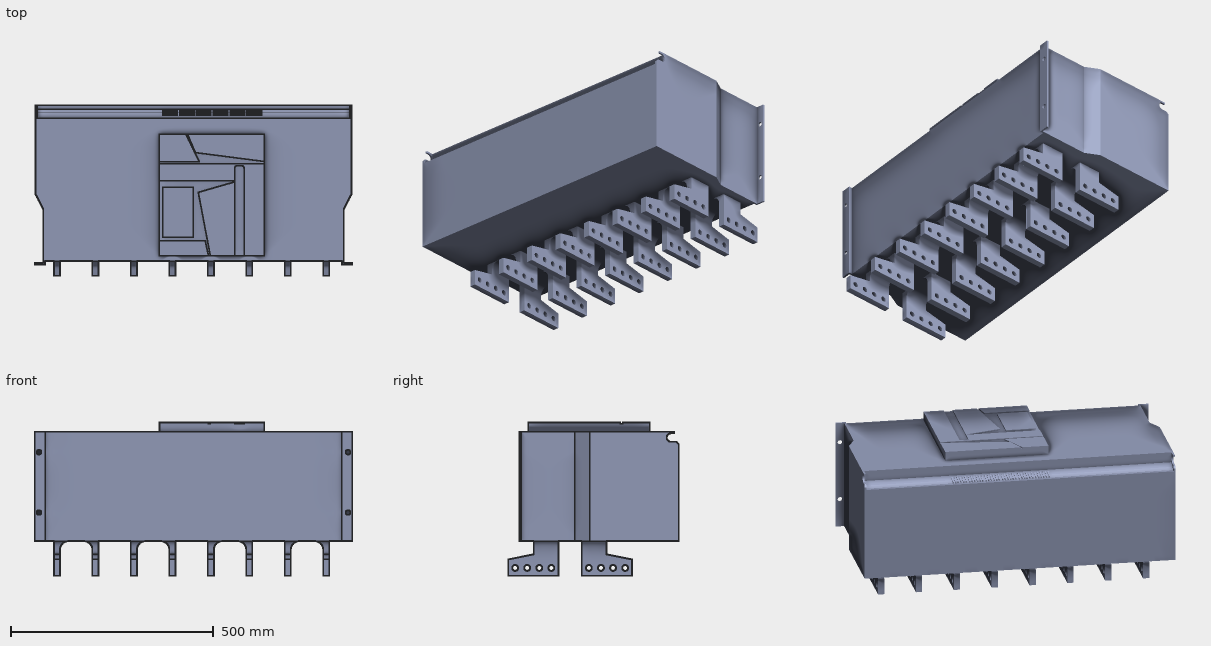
import cadquery as cq

HOUSING_HEIGHT = 271.0
FRONT_Y = -385.0
REAR_HALF_WIDTH = 390.0
FRONT_HALF_WIDTH = 371.0
TAPER_BACK_Y = -220.0
TAPER_FRONT_Y = -257.0
SHEET = 5.0

RECESS_Y = -32.0
RECESS_BREAK_Y = -17.0
LEDGE_Y = -9.5
RECESS_Z = 245.0
RECESS_BREAK_Z = 238.0
LEDGE_Z = 232.0

LIP_Y = -12.0
SLOT_END_Y = -30.0
SLOT_Z = 256.0
SLOT_WIDTH = 20.5
SLOT_CHAMFER = 6.0

FLANGE_HALF_SPAN = 392.5
FLANGE_FRONT_Y = -394.0
FLANGE_HOLE_X = 381.5
FLANGE_HOLE_HEIGHTS = (71.0, 220.0)
FLANGE_HOLE_DIAMETER = 12.0

LEG_COUNT = 8
LEG_PITCH = 95.0
LEG_ROW_CENTER_X = -5.0
LEG_THICKNESS = 16.0
LEG_LENGTH = 85.5
LEG_INNER_Y = -297.0
LEG_NECK_Y = -359.0
LEG_TIP_Y = -421.5
LEG_SHOULDER_Z = -32.0
LEG_TIP_Z = -45.0
LEG_MIRROR_Y = -268.5
LEG_FLARE_RADIUS = 20.5
LEG_HOLE_COUNT = 4
LEG_HOLE_PITCH = 30.0
LEG_HOLE_FIRST_Y = -315.0
LEG_HOLE_Z = -66.0
LEG_HOLE_DIAMETER = 14.0

PANEL_LEFT_X = -84.0
PANEL_BACK_Y = -71.5
PANEL_WIDTH = 259.0
PANEL_DEPTH = 301.0
PANEL_HEIGHT = 23.0
PAD_HEIGHT = 3.0
HANDLE_SLOT_LEFT = 186.0
HANDLE_SLOT_RIGHT = 209.0
HANDLE_SLOT_BACK = 78.0
HANDLE_SLOT_RADIUS = 6.0
SELECT_MARGIN = 1.0

RIB_GROUP_COUNT = 6
RIB_GROUP_FIRST_X = -76.0
RIB_GROUP_PITCH = 41.5
RIBS_PER_GROUP = 6
RIB_PITCH = 6.6
RIB_WIDTH = 3.0
RIB_FRONT_Y = -25.0
RIB_HEIGHT = 2.0


def box_between(x0, x1, y0, y1, z0, z1):
    """Box given by its limits along each axis."""
    return cq.Workplane("XY").box(x1 - x0, y1 - y0, z1 - z0, centered=False).translate((x0, y0, z0))


def side_profile(points, x0, x1):
    """Closed (y, z) outline extruded along X from x0 to x1."""
    return cq.Workplane("YZ").workplane(offset=x0).polyline(points).close().extrude(x1 - x0)


def make_housing():
    outline = [
        (REAR_HALF_WIDTH, 0),
        (REAR_HALF_WIDTH, TAPER_BACK_Y),
        (FRONT_HALF_WIDTH, TAPER_FRONT_Y),
        (FRONT_HALF_WIDTH, FRONT_Y),
    ]
    mirrored = [(-x, y) for x, y in reversed(outline)]
    return cq.Workplane("XY").polyline(outline + mirrored).close().extrude(HOUSING_HEIGHT)


def make_rear_recess():
    inner_half_width = REAR_HALF_WIDTH - SHEET
    profile = [
        (RECESS_Y, HOUSING_HEIGHT),
        (RECESS_Y, RECESS_Z),
        (RECESS_BREAK_Y, RECESS_BREAK_Z),
        (LEDGE_Y, LEDGE_Z),
        (0, LEDGE_Z),
        (0, HOUSING_HEIGHT),
    ]
    return side_profile(profile, -inner_half_width, inner_half_width)


def make_corner_notch():
    """Cutter for the open slot in both side sheets, with the lip and the chamfer at its mouth."""
    slot_radius = SLOT_WIDTH / 2
    slot_bottom = SLOT_Z - slot_radius
    slot_top = SLOT_Z + slot_radius
    arc_y = SLOT_END_Y + slot_radius
    return (
        cq.Workplane("YZ")
        .moveTo(0, HOUSING_HEIGHT)
        .lineTo(LIP_Y, HOUSING_HEIGHT)
        .lineTo(LIP_Y, slot_top)
        .lineTo(arc_y, slot_top)
        .threePointArc((SLOT_END_Y, SLOT_Z), (arc_y, slot_bottom))
        .lineTo(-SLOT_CHAMFER, slot_bottom)
        .lineTo(0, slot_bottom - SLOT_CHAMFER)
        .close()
        .extrude(REAR_HALF_WIDTH, both=True)
    )


def make_flange():
    """Right-hand flange: a web running on from the housing side and an outward turned face."""
    web_x = FRONT_HALF_WIDTH - SHEET
    web = box_between(web_x, FRONT_HALF_WIDTH, FLANGE_FRONT_Y, FRONT_Y, 0, HOUSING_HEIGHT)
    face_back_y = FLANGE_FRONT_Y + SHEET
    face = box_between(web_x, FLANGE_HALF_SPAN, FLANGE_FRONT_Y, face_back_y, 0, HOUSING_HEIGHT)
    holes = (
        cq.Workplane("XZ", origin=(0, face_back_y, 0))
        .pushPoints([(FLANGE_HOLE_X, z) for z in FLANGE_HOLE_HEIGHTS])
        .circle(FLANGE_HOLE_DIAMETER / 2)
        .extrude(SHEET)
    )
    return web.union(face).cut(holes)


def make_leg(flare_side):
    """Front leg centred on X = 0, flared where it meets the housing on the given side (+1 or -1)."""
    profile = [
        (LEG_INNER_Y, 0),
        (LEG_NECK_Y, 0),
        (LEG_NECK_Y, LEG_SHOULDER_Z),
        (LEG_TIP_Y, LEG_TIP_Z),
        (LEG_TIP_Y, -LEG_LENGTH),
        (LEG_INNER_Y, -LEG_LENGTH),
    ]
    half = LEG_THICKNESS / 2
    blade = side_profile(profile, -half, half)
    hole_points = [(LEG_HOLE_FIRST_Y - i * LEG_HOLE_PITCH, LEG_HOLE_Z) for i in range(LEG_HOLE_COUNT)]
    holes = (
        cq.Workplane("YZ")
        .pushPoints(hole_points)
        .circle(LEG_HOLE_DIAMETER / 2)
        .extrude(half, both=True)
    )
    inner_x = flare_side * half
    outer_x = flare_side * (half + LEG_FLARE_RADIUS)
    flare = (
        cq.Workplane("XZ", origin=(0, LEG_INNER_Y, 0))
        .moveTo(inner_x, 0)
        .lineTo(outer_x, 0)
        .radiusArc((inner_x, -LEG_FLARE_RADIUS), -flare_side * LEG_FLARE_RADIUS)
        .close()
        .extrude(LEG_INNER_Y - LEG_NECK_Y)
    )
    return blade.cut(holes).union(flare)


def make_panel_pad(points):
    """Raised pad; points are (right, forward) from the back left corner of the panel."""
    outline = [(PANEL_LEFT_X + right, PANEL_BACK_Y - forward) for right, forward in points]
    pad_z = HOUSING_HEIGHT + PANEL_HEIGHT - PAD_HEIGHT
    return cq.Workplane("XY", origin=(0, 0, pad_z)).polyline(outline).close().extrude(PAD_HEIGHT)


def make_panel():
    base_top = HOUSING_HEIGHT + PANEL_HEIGHT - PAD_HEIGHT
    front_y = PANEL_BACK_Y - PANEL_DEPTH
    right_x = PANEL_LEFT_X + PANEL_WIDTH
    panel = box_between(PANEL_LEFT_X, right_x, front_y, PANEL_BACK_Y, HOUSING_HEIGHT, base_top)

    back_left_pad = [(0, 0), (65.0, 0), (98.0, 67.5), (0, 67.5)]
    back_right_pad = [(69.0, 0), (PANEL_WIDTH, 0), (PANEL_WIDTH, 67.5), (89.0, 45.5)]
    angled_pad = [
        (HANDLE_SLOT_LEFT, 118.0),
        (96.0, 144.0),
        (125.5, PANEL_DEPTH),
        (HANDLE_SLOT_LEFT, PANEL_DEPTH),
    ]
    window_pad = [(8.0, 131.0), (83.0, 131.0), (83.0, 254.0), (8.0, 254.0)]
    front_left_pad = [(0, 264.0), (113.0, 264.0), (121.0, PANEL_DEPTH), (0, PANEL_DEPTH)]
    for points in (back_left_pad, back_right_pad, angled_pad, window_pad, front_left_pad):
        panel = panel.union(make_panel_pad(points))

    wrap_pad = make_panel_pad([
        (0, 73.0),
        (PANEL_WIDTH, 73.0),
        (PANEL_WIDTH, PANEL_DEPTH),
        (HANDLE_SLOT_RIGHT, PANEL_DEPTH),
        (HANDLE_SLOT_RIGHT, HANDLE_SLOT_BACK),
        (HANDLE_SLOT_LEFT, HANDLE_SLOT_BACK),
        (HANDLE_SLOT_LEFT, 115.5),
        (0, 115.5),
    ])
    slot_back_y = PANEL_BACK_Y - HANDLE_SLOT_BACK
    slot_left_x = PANEL_LEFT_X + HANDLE_SLOT_LEFT
    slot_right_x = PANEL_LEFT_X + HANDLE_SLOT_RIGHT
    pad_top = base_top + PAD_HEIGHT
    slot_end_corners = cq.selectors.BoxSelector(
        (slot_left_x - SELECT_MARGIN, slot_back_y - SELECT_MARGIN, base_top),
        (slot_right_x + SELECT_MARGIN, slot_back_y + SELECT_MARGIN, pad_top),
    )
    wrap_pad = wrap_pad.edges("|Z").edges(slot_end_corners).fillet(HANDLE_SLOT_RADIUS)
    return panel.union(wrap_pad)


def make_rib():
    """Contact rib starting at X = 0; its top runs parallel to the front slope of the rear recess."""
    slope = (RECESS_BREAK_Z - RECESS_Z) / (RECESS_BREAK_Y - RECESS_Y)
    front_top = RECESS_Z + slope * (RIB_FRONT_Y - RECESS_Y) + RIB_HEIGHT
    back_top = front_top + slope * (LEDGE_Y - RIB_FRONT_Y)
    profile = [
        (RIB_FRONT_Y, LEDGE_Z),
        (RIB_FRONT_Y, front_top),
        (LEDGE_Y, back_top),
        (LEDGE_Y, LEDGE_Z),
    ]
    return side_profile(profile, 0, RIB_WIDTH)


result = make_housing().cut(make_rear_recess()).cut(make_corner_notch())

flange = make_flange()
result = result.union(flange).union(flange.mirror("YZ"))

for i in range(LEG_COUNT):
    leg_x = LEG_ROW_CENTER_X + (i - (LEG_COUNT - 1) / 2) * LEG_PITCH
    flare_side = 1 if i % 2 == 0 else -1
    leg = make_leg(flare_side).translate((leg_x, 0, 0))
    back_leg = leg.mirror("XZ", (0, LEG_MIRROR_Y, 0))
    result = result.union(leg).union(back_leg)

result = result.union(make_panel())

rib = make_rib()
for group in range(RIB_GROUP_COUNT):
    group_x = RIB_GROUP_FIRST_X + group * RIB_GROUP_PITCH
    for i in range(RIBS_PER_GROUP):
        result = result.union(rib.translate((group_x + i * RIB_PITCH, 0, 0)))